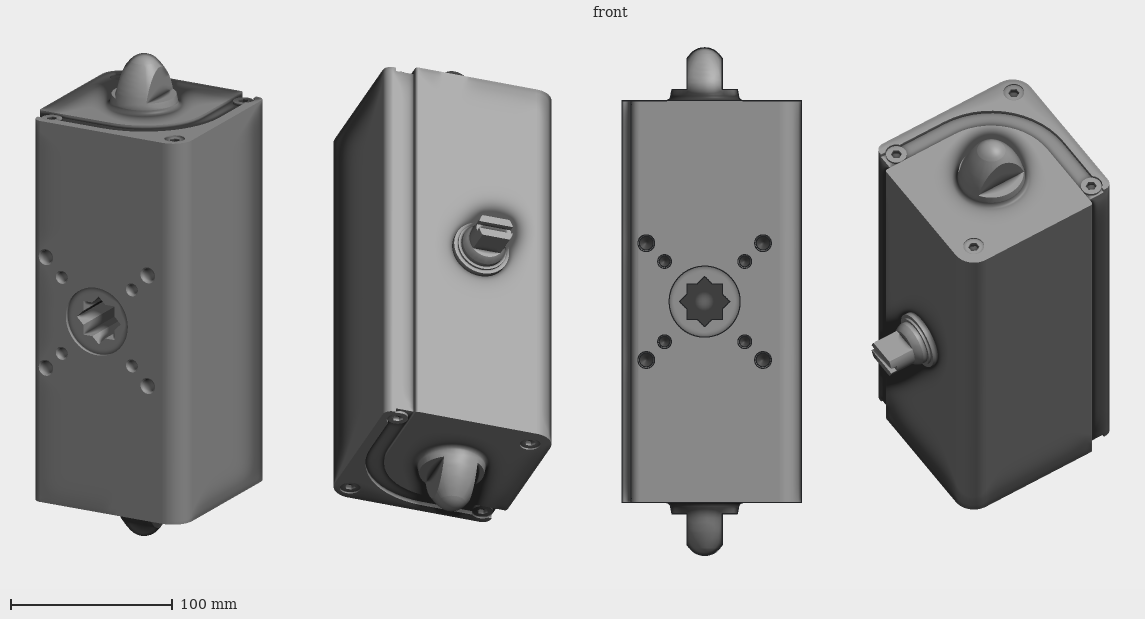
import cadquery as cq
import math


CAP_REACH = 51.0
BASE_REACH = 60.0
NOTCH_REACH = 41.7
SIDE_STEP_REACH = 45.5
BACK_STEP_REACH = 46.5
LARGE_CORNER_R = 13.5
SMALL_CORNER_R = 5.3
NOTCH_CORNER_R = 1.5
HOUSING_LENGTH = 248.5
HALF_LENGTH = HOUSING_LENGTH / 2

CHANNEL_INNER_R = NOTCH_REACH
CHANNEL_OUTER_R = 53.3
CHANNEL_DEPTH = 2.5

SCREW_NEAR = 38.0
SCREW_FAR = 49.0
SCREW_HEAD_D = 13.0
SCREW_CLEARANCE_D = 13.8
SCREW_RECESS = 1.0
SCREW_HEX_FLATS = 6.0
SCREW_HEX_DEPTH = 3.0

OVERALL_LENGTH = 313.5
NOSE_TOP = OVERALL_LENGTH / 2
NOSE_BASE_R = 21.0
NOSE_FILLET_R = 2.8
NOSE_TIP_R = 11.5
NOSE_TIP_EDGE_R = 8.8
NOSE_BLADE = 22.0
NOSE_FLAT_Z = 131.0

LARGE_HOLE = (8.5, 10.5, 36.0)
SMALL_HOLE = (6.5, 8.5, 24.8)
HOLE_DEPTH = 12.5
DRILL_TIP_ANGLE = 118.0

SHAFT_D = 44.0
SHAFT_RECESS = 2.5
SHAFT_END_Y = 81.2
COLLAR_D = 36.0
COLLAR_LENGTH = 3.8
RING_D = 31.5
RING_LENGTH = 1.5
HUB_D = 28.0
HUB_LENGTH = 2.8
SHOULDER_LENGTH = 4.7
SHOULDER_MIDDLE_D = 26.0
STEM_D = 22.5
STEM_FLATS = 14.0
DRIVER_SLOT_WIDTH = 4.7
DRIVER_SLOT_DEPTH = 4.0
SOCKET_SIDE = 22.0
SOCKET_DEPTH = 44.0


def both_ends(feature):
    """Return a +Z end feature together with its mirror image at the -Z end."""
    return [feature, feature.mirror("XY")]


def housing_profile():
    block = (
        cq.Workplane("XY", origin=(0, 0, -HALF_LENGTH))
        .moveTo(-CAP_REACH, CAP_REACH)
        .lineTo(-CAP_REACH, -NOTCH_REACH)
        .lineTo(-SIDE_STEP_REACH, -NOTCH_REACH)
        .lineTo(-SIDE_STEP_REACH, -BASE_REACH)
        .lineTo(BASE_REACH, -BASE_REACH)
        .lineTo(BASE_REACH, BACK_STEP_REACH)
        .lineTo(NOTCH_REACH, BACK_STEP_REACH)
        .lineTo(NOTCH_REACH, CAP_REACH)
        .close()
        .extrude(HOUSING_LENGTH)
    )
    corners = [
        (-CAP_REACH, CAP_REACH, LARGE_CORNER_R),
        (BASE_REACH, -BASE_REACH, LARGE_CORNER_R),
        (-SIDE_STEP_REACH, -BASE_REACH, SMALL_CORNER_R),
        (BASE_REACH, BACK_STEP_REACH, SMALL_CORNER_R),
        (-CAP_REACH, -NOTCH_REACH, NOTCH_CORNER_R),
        (NOTCH_REACH, CAP_REACH, NOTCH_CORNER_R),
    ]
    for x, y, radius in corners:
        block = block.edges(cq.selectors.NearestToPointSelector((x, y, 0))).fillet(radius)
    return block


def quarter_bend(radius, z_start, height):
    """Prism that fills the -X, +Y side of an L-shaped line with a rounded bend about the nose axis."""
    far = 2 * BASE_REACH
    diagonal = radius * math.sqrt(0.5)
    return (
        cq.Workplane("XY", origin=(0, 0, z_start))
        .moveTo(-far, -radius)
        .lineTo(0, -radius)
        .threePointArc((diagonal, -diagonal), (radius, 0))
        .lineTo(radius, far)
        .lineTo(-far, far)
        .close()
        .extrude(height)
    )


def screw_discs(points, diameter, top, depth):
    return (
        cq.Workplane("XY", origin=(0, 0, top))
        .pushPoints(points)
        .circle(diameter / 2)
        .extrude(-depth)
    )


def channel():
    """Band along the bend, opened out around the two screws it crosses, which stay as round bosses."""
    floor = HALF_LENGTH - CHANNEL_DEPTH
    crossed_screws = [(SCREW_FAR, SCREW_NEAR), (-SCREW_NEAR, -SCREW_FAR)]
    outer = quarter_bend(CHANNEL_OUTER_R, floor, CHANNEL_DEPTH)
    band = outer.cut(quarter_bend(CHANNEL_INNER_R, floor, CHANNEL_DEPTH))
    clearance = screw_discs(crossed_screws, SCREW_CLEARANCE_D, HALF_LENGTH, CHANNEL_DEPTH)
    heads = screw_discs(crossed_screws, SCREW_HEAD_D, HALF_LENGTH, CHANNEL_DEPTH)
    return band.union(clearance).cut(heads)


def screw_recesses():
    """Shallow round recess with a hexagon socket in its floor, for each cover screw."""
    points = [(x, y) for x in (-SCREW_NEAR, SCREW_FAR) for y in (SCREW_NEAR, -SCREW_FAR)]
    recesses = screw_discs(points, SCREW_HEAD_D, HALF_LENGTH, SCREW_RECESS)
    corner_diameter = SCREW_HEX_FLATS / math.cos(math.radians(30))
    sockets = (
        cq.Workplane("XY", origin=(0, 0, HALF_LENGTH - SCREW_RECESS))
        .pushPoints(points)
        .polygon(6, corner_diameter)
        .extrude(-SCREW_HEX_DEPTH)
    )
    return recesses.union(sockets)


def nose():
    """Domed nose with a rounded foot, turned about Z and cut to a blade by two flats."""
    tip_drop = NOSE_TIP_R - math.sqrt(NOSE_TIP_R**2 - NOSE_TIP_EDGE_R**2)
    half_angle = math.asin(NOSE_TIP_EDGE_R / NOSE_TIP_R) / 2
    tip_middle = (
        NOSE_TIP_R * math.sin(half_angle),
        NOSE_TOP - NOSE_TIP_R * (1 - math.cos(half_angle)),
    )
    fillet_x = NOSE_BASE_R + NOSE_FILLET_R
    fillet_z = HALF_LENGTH + NOSE_FILLET_R
    fillet_shift = NOSE_FILLET_R * math.sqrt(0.5)
    body = (
        cq.Workplane("XZ")
        .moveTo(0, HALF_LENGTH)
        .lineTo(0, NOSE_TOP)
        .threePointArc(tip_middle, (NOSE_TIP_EDGE_R, NOSE_TOP - tip_drop))
        .tangentArcPoint((NOSE_BASE_R, fillet_z), relative=False)
        .threePointArc((fillet_x - fillet_shift, fillet_z - fillet_shift), (fillet_x, HALF_LENGTH))
        .close()
        .revolve(360, (0, 0, 0), (0, 1, 0))
    )
    for side in (-1, 1):
        flat = cq.Workplane("XY").box(
            2 * NOSE_BASE_R, 4 * NOSE_BASE_R, NOSE_TOP, centered=(True, True, False)
        )
        body = body.cut(flat.translate((side * (NOSE_BLADE / 2 + NOSE_BASE_R), 0, NOSE_FLAT_Z)))
    return body


def mounting_holes(diameter, rim_diameter, half_pitch):
    """Four drilled holes with a 45 degree countersink and a conical bottom."""
    radius = diameter / 2
    rim_radius = rim_diameter / 2
    chamfer = rim_radius - radius
    tip = radius / math.tan(math.radians(DRILL_TIP_ANGLE / 2))
    hole = (
        cq.Workplane("XY")
        .moveTo(0, 0)
        .lineTo(rim_radius, 0)
        .lineTo(radius, chamfer)
        .lineTo(radius, HOLE_DEPTH)
        .lineTo(0, HOLE_DEPTH + tip)
        .close()
        .revolve(360, (0, 0, 0), (0, 1, 0))
    )
    holes = []
    for x in (-half_pitch, half_pitch):
        for z in (-half_pitch, half_pitch):
            holes.append(hole.translate((x, -BASE_REACH, z)))
    return holes


def shaft_bore():
    return (
        cq.Workplane("XZ", origin=(0, CAP_REACH, 0))
        .circle(SHAFT_D / 2)
        .extrude(CAP_REACH + BASE_REACH)
    )


def make_housing():
    body = housing_profile()
    for cutter in both_ends(channel()) + both_ends(screw_recesses()):
        body = body.cut(cutter)
    for end_nose in both_ends(nose()):
        body = body.union(end_nose)
    for hole in mounting_holes(*LARGE_HOLE) + mounting_holes(*SMALL_HOLE):
        body = body.cut(hole)
    return body.cut(shaft_bore())


def shaft_blank():
    """Stepped shaft turned about Y."""
    start = SHAFT_RECESS - BASE_REACH
    collar_end = CAP_REACH + COLLAR_LENGTH
    ring_end = collar_end + RING_LENGTH
    hub_end = ring_end + HUB_LENGTH
    shoulder_end = hub_end + SHOULDER_LENGTH
    hub_r = HUB_D / 2
    stem_r = STEM_D / 2
    shoulder_middle = (SHOULDER_MIDDLE_D / 2, hub_end + SHOULDER_LENGTH / 2)
    return (
        cq.Workplane("XY")
        .moveTo(0, start)
        .lineTo(SHAFT_D / 2, start)
        .lineTo(SHAFT_D / 2, CAP_REACH)
        .lineTo(COLLAR_D / 2, CAP_REACH)
        .lineTo(COLLAR_D / 2, collar_end)
        .lineTo(RING_D / 2, collar_end)
        .lineTo(RING_D / 2, ring_end)
        .lineTo(hub_r, ring_end)
        .lineTo(hub_r, hub_end)
        .threePointArc(shoulder_middle, (stem_r, shoulder_end))
        .lineTo(stem_r, SHAFT_END_Y)
        .lineTo(0, SHAFT_END_Y)
        .close()
        .revolve(360, (0, 0, 0), (0, 1, 0))
    )


def stem_flats():
    """Cutters for the two flats above and below the stem."""
    start = CAP_REACH + COLLAR_LENGTH + RING_LENGTH + HUB_LENGTH + SHOULDER_LENGTH
    cutter = cq.Workplane("XY").box(
        2 * STEM_D, SHAFT_END_Y - start, STEM_D, centered=(True, False, True)
    )
    shift = (STEM_FLATS + STEM_D) / 2
    return [cutter.translate((0, start, side * shift)) for side in (-1, 1)]


def driver_slot():
    return cq.Workplane("XY", origin=(0, SHAFT_END_Y, 0)).box(
        2 * STEM_D, 2 * DRIVER_SLOT_DEPTH, DRIVER_SLOT_WIDTH
    )


def star_socket():
    """Eight-pointed socket made of two squares turned 45 degrees apart."""
    depth = SHAFT_RECESS + SOCKET_DEPTH
    square = (
        cq.Workplane("XZ", origin=(0, depth - BASE_REACH, 0))
        .rect(SOCKET_SIDE, SOCKET_SIDE)
        .extrude(depth)
    )
    return square.union(square.rotate((0, 0, 0), (0, 1, 0), 45))


def make_shaft():
    body = shaft_blank()
    for cutter in [*stem_flats(), driver_slot(), star_socket()]:
        body = body.cut(cutter)
    return body


housing = make_housing()
shaft = make_shaft()

result = cq.Compound.makeCompound([housing.val(), shaft.val()])